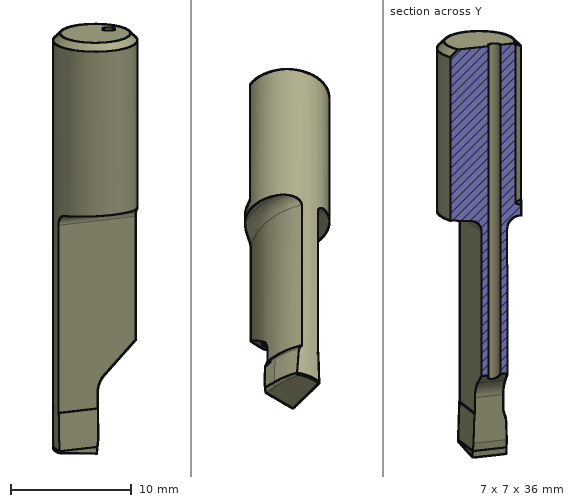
import cadquery as cq
import math

LENGTH = 36.0
SHANK_RADIUS = 3.5
TOP_CHAMFER = 0.6
FLAT_DISTANCE = 2.94
FLAT_DIRECTION = 135.0
FLAT_BOTTOM_Z = 22.0
FLAT_RUNOUT_DEPTH = 0.2
FLAT_RUNOUT_HEIGHT = 0.18

SHOULDER_Z = 21.0
SHOULDER_FILLET = 1.0
SHOULDER_SLOPE = 8.0
NECK_RIGHT_X = 0.4
NECK_LEFT_X = -2.11
NECK_FACE_RADIUS = 6.4
FACE_CENTER_X = NECK_LEFT_X + NECK_FACE_RADIUS

RAMP_TOP_Z = 9.4
RAMP_ANGLE = 44.0
RAMP_FILLET = 2.0
FLOOR_Y = 0.06

COOLANT_DIAMETER = 1.05
COOLANT_X = -0.76
COOLANT_Y = 1.53

HEAD_TOP_Z = 3.86
HEAD_RIGHT_X = 0.58
HEAD_FACE_RADIUS = 6.67
HEAD_TAPER = 2.0
FACET_END_Y = -1.03
FLARE_ANGLE = 18.7

TIP_HEIGHT = 0.6
RAKE_TOP_Z = 1.3
RAKE_DEPTH = 0.16
CLEARANCE_ANGLE = 7.0
TIP_CORNER_RADIUS = 0.1

MARGIN = 1.0
REACH = SHANK_RADIUS + MARGIN


def cosine(degrees):
    return math.cos(math.radians(degrees))


def tangent(degrees):
    return math.tan(math.radians(degrees))


def round_bar(bottom_z, top_z):
    return cq.Workplane("XY", origin=(0, 0, bottom_z)).circle(SHANK_RADIUS).extrude(top_z - bottom_z)


def side_prism(outline):
    """Prism along X, through the whole bar, from an outline in (Y, Z)."""
    return outline.close().extrude(REACH, both=True)


def flat_cutter():
    """Cutter for the locating flat, drawn in (distance from axis, Z) and turned to (-X, +Y)."""
    cutter = (
        cq.Workplane("XZ")
        .moveTo(FLAT_DISTANCE, FLAT_BOTTOM_Z + FLAT_RUNOUT_HEIGHT)
        .lineTo(FLAT_DISTANCE + FLAT_RUNOUT_DEPTH, FLAT_BOTTOM_Z)
        .lineTo(REACH, FLAT_BOTTOM_Z)
        .lineTo(REACH, LENGTH + MARGIN)
        .lineTo(FLAT_DISTANCE, LENGTH + MARGIN)
        .close()
        .extrude(REACH, both=True)
    )
    return cutter.rotate((0, 0, 0), (0, 0, 1), FLAT_DIRECTION)


def left_relief():
    """Ring that leaves the curved -X face of the neck, rounded up into the shoulder."""
    outer_radius = NECK_FACE_RADIUS + REACH
    ring = (
        cq.Workplane("XZ", origin=(FACE_CENTER_X, 0, 0))
        .moveTo(NECK_FACE_RADIUS, 0)
        .lineTo(NECK_FACE_RADIUS, SHOULDER_Z - SHOULDER_FILLET)
        .radiusArc((NECK_FACE_RADIUS + SHOULDER_FILLET, SHOULDER_Z), SHOULDER_FILLET)
        .lineTo(outer_radius, SHOULDER_Z)
        .lineTo(outer_radius, 0)
        .close()
    )
    return ring.revolve(360, (0, 0, 0), (0, 1, 0))


def right_relief():
    """Cutter that leaves the plain +X face of the neck under a shoulder rising towards +X."""
    shoulder_start_z = SHOULDER_Z - SHOULDER_FILLET * tangent(SHOULDER_SLOPE)
    shoulder_end_z = shoulder_start_z + (REACH - NECK_RIGHT_X) * tangent(SHOULDER_SLOPE)
    return (
        cq.Workplane("XZ")
        .moveTo(NECK_RIGHT_X, 0)
        .lineTo(NECK_RIGHT_X, shoulder_start_z)
        .lineTo(REACH, shoulder_end_z)
        .lineTo(REACH, 0)
        .close()
        .extrude(REACH, both=True)
        .edges("|Y")
        .edges(cq.selectors.NearestToPointSelector((NECK_RIGHT_X, 0, shoulder_start_z)))
        .fillet(SHOULDER_FILLET)
    )


def ramp_cutter():
    """Cutter for the +Y side: a ramp running down and inwards into an upright floor."""
    slope = tangent(RAMP_ANGLE)
    floor_z = RAMP_TOP_Z - (SHANK_RADIUS - FLOOR_Y) * slope
    outline = (
        cq.Workplane("YZ")
        .moveTo(FLOOR_Y, -MARGIN)
        .lineTo(FLOOR_Y, floor_z)
        .lineTo(REACH, RAMP_TOP_Z + MARGIN * slope)
        .lineTo(REACH, -MARGIN)
    )
    corner = cq.selectors.NearestToPointSelector((0, FLOOR_Y, floor_z))
    return side_prism(outline).edges("|X").edges(corner).fillet(RAMP_FILLET)


def make_shank_and_neck():
    body = round_bar(HEAD_TOP_Z, LENGTH).faces(">Z").chamfer(TOP_CHAMFER)
    body = body.cut(flat_cutter()).cut(left_relief()).cut(right_relief()).cut(ramp_cutter())
    coolant_hole = (
        cq.Workplane("XY").center(COOLANT_X, COOLANT_Y).circle(COOLANT_DIAMETER / 2).extrude(LENGTH)
    )
    return body.cut(coolant_hole)


def head_block():
    """Tapered block: its -X side is a facet that runs tangent into an arc about the neck's centre."""
    facet_angle = math.degrees(math.asin(-FACET_END_Y / HEAD_FACE_RADIUS))
    facet_end_x = FACE_CENTER_X - HEAD_FACE_RADIUS * cosine(facet_angle)
    facet_start_x = facet_end_x - (MARGIN - FACET_END_Y) * tangent(facet_angle)
    arc_end_y = -REACH
    arc_end_x = FACE_CENTER_X - math.sqrt(HEAD_FACE_RADIUS**2 - arc_end_y**2)
    return (
        cq.Workplane("XY")
        .moveTo(HEAD_RIGHT_X, MARGIN)
        .lineTo(facet_start_x, MARGIN)
        .lineTo(facet_end_x, FACET_END_Y)
        .radiusArc((arc_end_x, arc_end_y), -HEAD_FACE_RADIUS)
        .lineTo(HEAD_RIGHT_X, arc_end_y)
        .close()
        .extrude(HEAD_TOP_Z, taper=HEAD_TAPER)
    )


def flare_cone():
    """Cone that matches the neck's curved face at the head's top and widens downwards."""
    base_radius = NECK_FACE_RADIUS + HEAD_TOP_Z * tangent(FLARE_ANGLE)
    return cq.Workplane(
        cq.Solid.makeCone(base_radius, NECK_FACE_RADIUS, HEAD_TOP_Z, cq.Vector(FACE_CENTER_X, 0, 0))
    )


def head_side_profile():
    """Prism bounded by the cutting face on +Y, its rake and the clearance face underneath."""
    cutting_edge_y = FLOOR_Y - RAKE_DEPTH
    outline = (
        cq.Workplane("YZ")
        .moveTo(cutting_edge_y, 0)
        .lineTo(FLOOR_Y, RAKE_TOP_Z)
        .lineTo(FLOOR_Y, HEAD_TOP_Z)
        .lineTo(-REACH, HEAD_TOP_Z)
        .lineTo(-REACH, (REACH + cutting_edge_y) * tangent(CLEARANCE_ANGLE))
    )
    return side_prism(outline)


def make_head():
    head = head_block().intersect(flare_cone()).intersect(round_bar(0, HEAD_TOP_Z))
    return head.intersect(head_side_profile())


def tip_slice():
    """Slab that holds everything below the joint between holder and cutting tip."""
    return cq.Workplane("XY").rect(2 * REACH, 2 * REACH).extrude(TIP_HEIGHT)


def make_holder():
    return make_shank_and_neck().union(make_head().cut(tip_slice()))


def make_cutting_tip():
    tip = make_head().intersect(tip_slice())
    bottom_sides = tip.faces("<Z").edges("not(<Y or >Y)")
    return bottom_sides.fillet(TIP_CORNER_RADIUS)


holder = make_holder()
cutting_tip = make_cutting_tip()

result = cq.Compound.makeCompound([holder.val(), cutting_tip.val()])